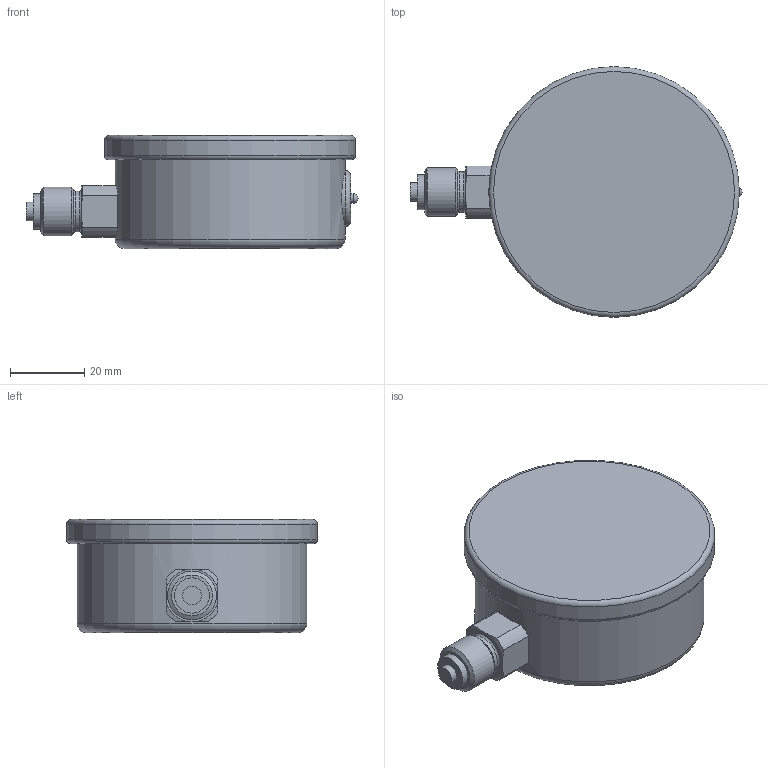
import cadquery as cq
import math

case_diameter = 62.0
case_edge_radius = 2.5
total_height = 30.5

bezel_diameter = 67.6
bezel_height = 6.5
bezel_top_radius = 1.3
bezel_bottom_radius = 1.0

stem_height = 10.0
stem_tip_x = -55.0
pin_diameter = 5.0
pin_length = 2.0
spigot_diameter = 9.5
spigot_length = 2.0
thread_diameter = 13.16
thread_lead_in = 0.6

relief_diameter = 11.0
relief_width = 2.2

wrench_x = -40.0
wrench_width = 14.0
wrench_bar_diameter = 16.5
wrench_face_diameter = 14.3
wrench_bevel_length = 0.3

plug_height = 13.5
plug_diameter = 15.0
plug_face_x = 32.5
plug_edge_radius = 1.3
nipple_tip_x = 34.5
nipple_diameter = 2.5

fitting_embed_depth = 5.0
root_distance = case_diameter / 2 - fitting_embed_depth

SIN_45 = math.sin(math.radians(45))


def revolve_about_x(profile, height):
    """Spin an (x, radius) outline about an X-parallel axis at the given height."""
    solid = profile.close().revolve(360, (0, 0, 0), (1, 0, 0))
    return solid.translate((0, 0, height))


def make_case():
    can = cq.Workplane("XY").circle(case_diameter / 2).extrude(total_height - bezel_height)
    return can.faces("<Z").edges().fillet(case_edge_radius)


def make_bezel():
    ring = (
        cq.Workplane("XY", origin=(0, 0, total_height - bezel_height))
        .circle(bezel_diameter / 2)
        .extrude(bezel_height)
    )
    ring = ring.faces(">Z").edges().fillet(bezel_top_radius)
    return ring.faces("<Z").edges().fillet(bezel_bottom_radius)


def make_threaded_end():
    """Pin, spigot, thread and relief groove, turned in one piece."""
    spigot_x = stem_tip_x + pin_length
    thread_x = spigot_x + spigot_length
    relief_x = wrench_x - relief_width
    thread_radius = thread_diameter / 2
    relief_radius = relief_diameter / 2
    corner = (thread_radius - relief_radius) / 2
    shoulder_radius = relief_radius + corner
    arc_offset = corner * (1 - SIN_45)
    profile = (
        cq.Workplane("XY")
        .moveTo(stem_tip_x, 0)
        .lineTo(stem_tip_x, pin_diameter / 2)
        .lineTo(spigot_x, pin_diameter / 2)
        .lineTo(spigot_x, spigot_diameter / 2)
        .lineTo(thread_x, spigot_diameter / 2)
        .lineTo(thread_x, relief_radius)
        .lineTo(thread_x + thread_lead_in, thread_radius)
        .lineTo(relief_x - corner, thread_radius)
        .lineTo(relief_x, shoulder_radius)
        .threePointArc(
            (relief_x + arc_offset, relief_radius + arc_offset),
            (relief_x + corner, relief_radius),
        )
        .lineTo(wrench_x - corner, relief_radius)
        .threePointArc(
            (wrench_x - arc_offset, relief_radius + arc_offset),
            (wrench_x, shoulder_radius),
        )
        .lineTo(-root_distance, shoulder_radius)
        .lineTo(-root_distance, 0)
    )
    return revolve_about_x(profile, stem_height)


def make_wrench_section():
    bar_radius = wrench_bar_diameter / 2
    profile = (
        cq.Workplane("XY")
        .moveTo(wrench_x, 0)
        .lineTo(wrench_x, wrench_face_diameter / 2)
        .lineTo(wrench_x + wrench_bevel_length, bar_radius)
        .lineTo(-root_distance, bar_radius)
        .lineTo(-root_distance, 0)
    )
    square = (
        cq.Workplane("YZ", origin=(wrench_x, 0, stem_height))
        .rect(wrench_width, wrench_width)
        .extrude(-root_distance - wrench_x)
    )
    return revolve_about_x(profile, stem_height).intersect(square)


def make_plug():
    disc = (
        cq.Workplane("YZ", origin=(root_distance, 0, plug_height))
        .circle(plug_diameter / 2)
        .extrude(plug_face_x - root_distance)
    )
    return disc.faces(">X").edges().fillet(plug_edge_radius)


def make_nipple():
    """A short cylinder on the plug, ending in a hemispherical nose."""
    nipple_radius = nipple_diameter / 2
    nose_centre_x = nipple_tip_x - nipple_radius
    profile = (
        cq.Workplane("XY")
        .moveTo(root_distance, 0)
        .lineTo(root_distance, nipple_radius)
        .lineTo(nose_centre_x, nipple_radius)
        .threePointArc(
            (nose_centre_x + nipple_radius * SIN_45, nipple_radius * SIN_45),
            (nipple_tip_x, 0),
        )
    )
    return revolve_about_x(profile, plug_height)


result = (
    make_case()
    .union(make_bezel())
    .union(make_threaded_end())
    .union(make_wrench_section())
    .union(make_plug())
    .union(make_nipple())
)